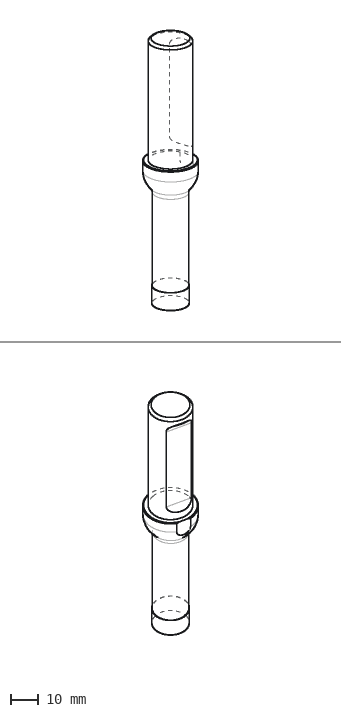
import cadquery as cq
import math

total_length = 105.6
shank_radius = 16.0 / 2
shank_chamfer = 1.1
collar_radius = 20.0 / 2
collar_top = 57.9
collar_bottom = 53.8
collar_chamfer = 0.3
collar_width_y = 19.5
collar_flat_y = collar_width_y - collar_radius
neck_radius = 13.2 / 2
bulge_radius = 9.0
blend_radius = 3.0

notch_depth = 1.9
notch_corner_radius = 3.2
notch_top = 102.5
notch_bottom = 61.0

head_radius = 13.5 / 2
head_top = 8.8
head_rim = 1.8
point_radius = 6.3 / 2
point_height = 1.2


def arc_point(center, radius, angle):
    """Point on an arc in the radius-height plane."""
    return (center[0] + radius * math.cos(angle), center[1] + radius * math.sin(angle))


def make_turned_holder():
    """Shank, collar and neck as one revolved profile."""
    bulge_center = (collar_radius - bulge_radius, collar_bottom)
    blend_x = neck_radius + blend_radius
    across = blend_x - bulge_center[0]
    drop = math.sqrt((bulge_radius + blend_radius) ** 2 - across**2)
    blend_center = (blend_x, collar_bottom - drop)

    join_angle = math.atan2(-drop, across)
    bulge_middle = arc_point(bulge_center, bulge_radius, join_angle / 2)
    bulge_end = arc_point(bulge_center, bulge_radius, join_angle)
    blend_start_angle = join_angle + math.pi
    blend_middle = arc_point(blend_center, blend_radius, (blend_start_angle + math.pi) / 2)

    return (
        cq.Workplane("XZ")
        .moveTo(0, total_length)
        .lineTo(shank_radius - shank_chamfer, total_length)
        .lineTo(shank_radius, total_length - shank_chamfer)
        .lineTo(shank_radius, collar_top)
        .lineTo(collar_radius - collar_chamfer, collar_top)
        .lineTo(collar_radius, collar_top - collar_chamfer)
        .lineTo(collar_radius, collar_bottom)
        .threePointArc(bulge_middle, bulge_end)
        .threePointArc(blend_middle, (neck_radius, blend_center[1]))
        .lineTo(neck_radius, head_top)
        .lineTo(0, head_top)
        .close()
        .revolve(360, (0, 0, 0), (0, 1, 0))
    )


def make_notch_cutter():
    """Slot along X with a flat floor and rounded ends."""
    floor_y = shank_radius - notch_depth
    end_offset = math.sqrt(notch_corner_radius**2 - (notch_corner_radius - notch_depth) ** 2)
    round_centers = notch_top - notch_bottom - 2 * end_offset
    return (
        cq.Workplane("YZ")
        .center(floor_y + notch_corner_radius, (notch_top + notch_bottom) / 2)
        .slot2D(round_centers + 2 * notch_corner_radius, 2 * notch_corner_radius, 90)
        .extrude(collar_radius, both=True)
    )


def make_flat_cutter():
    """Block that trims the +Y side of the collar."""
    return cq.Workplane("XY").box(
        2 * collar_radius, collar_radius, total_length, centered=(True, False, False)
    ).translate((0, collar_flat_y, 0))


def make_head():
    """Drill head with a shallow end cone and a steeper centre point."""
    profile = [
        (0, head_top),
        (head_radius, head_top),
        (head_radius, head_rim),
        (point_radius, point_height),
        (0, 0),
    ]
    return cq.Workplane("XZ").polyline(profile).close().revolve(360, (0, 0, 0), (0, 1, 0))


holder = make_turned_holder().cut(make_notch_cutter()).cut(make_flat_cutter())
head = make_head()

result = cq.Compound.makeCompound([holder.val(), head.val()])